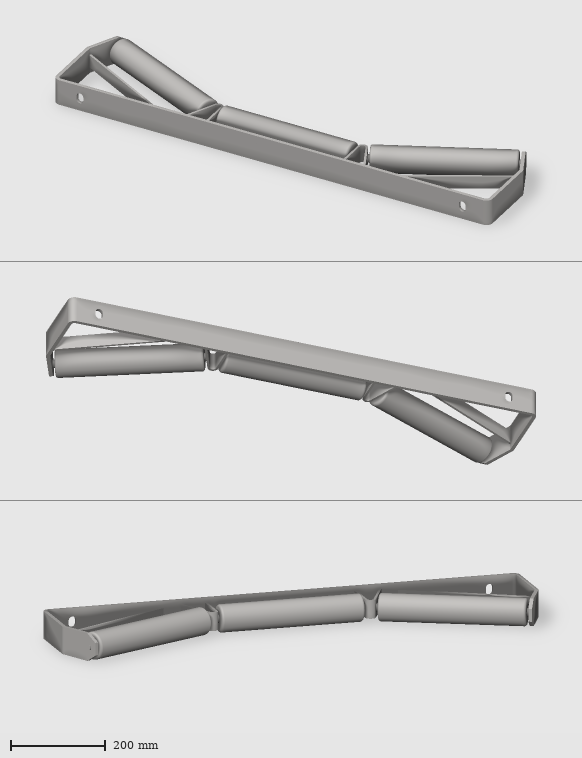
import cadquery as cq
import math

FRAME_LENGTH = 1050.0
BAR_HEIGHT = 60.0
BAR_THICKNESS = 8.0
BEND_RADIUS = 15.0
UPRIGHT_HEIGHT = 148.0
ARM_LENGTH = 102.76
TROUGH_ANGLE = 25.0

TIP_WIDTH = 28.0
TIP_TAPER_LENGTH = 25.0

MOUNT_SPACING = 920.0
MOUNT_SLOT_WIDTH = 16.0
MOUNT_SLOT_HEIGHT = 24.0

ROLLER_LENGTH = 315.0
ROLLER_DIAMETER = 60.0
ROLLER_EDGE = 5.0
AXLE_DIAMETER = 18.0
AXLE_FLATS = 10.0
CENTRE_END_GAP = 5.0
SIDE_END_GAP = 5.5
SIDE_AXLE_ALONG_ARM = 77.2
CENTRE_AXLE_Y = 71.0
SLOT_CLEARANCE = 3.5

BRACKET_THICKNESS = 5.0
BRACKET_BEND_RADIUS = 11.5
BRACKET_WIDTH = 40.0

BRACE_THICKNESS = 5.0
BRACE_WIDTH = 30.0
BRACE_ANGLE = 28.7
BRACE_TOP_Y = 149.5

SIN = math.sin(math.radians(TROUGH_ANGLE))
COS = math.cos(math.radians(TROUGH_ANGLE))
HALF_LENGTH = FRAME_LENGTH / 2
CENTRE_SPAN = ROLLER_LENGTH + 2 * CENTRE_END_GAP
SIDE_SPAN = ROLLER_LENGTH + 2 * SIDE_END_GAP
MIRROR_PLANE = "YZ"


def tilted(along_roller, along_arm):
    """Point on the left, measured from the outer arm corner along the roller and along the arm."""
    x = -HALF_LENGTH + along_roller * COS + along_arm * SIN
    y = UPRIGHT_HEIGHT - along_roller * SIN + along_arm * COS
    return (x, y)


def slab(outline, height):
    """Extrude a closed XY outline symmetrically about Z = 0."""
    return outline.extrude(height / 2, both=True)


def axle_slot(plane, start, length, clearance):
    """Tool for the flat-sided axle hole, with clearance above the axle (local +X)."""
    side = AXLE_FLATS / 2
    tip = AXLE_DIAMETER / 2
    corner = math.sqrt(tip**2 - side**2)
    return (
        cq.Workplane(plane)
        .workplane(offset=start)
        .moveTo(-corner, -side)
        .lineTo(corner + clearance, -side)
        .threePointArc((tip + clearance, 0), (corner + clearance, side))
        .lineTo(-corner, side)
        .threePointArc((-tip, 0), (-corner, -side))
        .close()
        .extrude(length)
    )


SIDE_UP = (SIN, COS, 0)
SIDE_DIRECTION = (COS, -SIN, 0)
SIDE_AXLE = cq.Plane(
    origin=(*tilted(BAR_THICKNESS, SIDE_AXLE_ALONG_ARM), 0), xDir=SIDE_UP, normal=SIDE_DIRECTION
)
CENTRE_AXLE = cq.Plane(origin=(-CENTRE_SPAN / 2, CENTRE_AXLE_Y, 0), xDir=(0, 1, 0), normal=(1, 0, 0))


def make_frame():
    inner_bend = BEND_RADIUS - BAR_THICKNESS
    inner_x = HALF_LENGTH - BAR_THICKNESS
    inner_bend_y = UPRIGHT_HEIGHT - BAR_THICKNESS * math.tan(math.radians(TROUGH_ANGLE / 2))
    tip_outer = tilted(0, ARM_LENGTH)
    tip_inner = tilted(BAR_THICKNESS, ARM_LENGTH)
    left_path = [
        (0, 0),
        (-HALF_LENGTH, 0),
        (-HALF_LENGTH, UPRIGHT_HEIGHT),
        tip_outer,
        tip_inner,
        (-inner_x, inner_bend_y),
        (-inner_x, BAR_THICKNESS),
        (0, BAR_THICKNESS),
    ]
    half = slab(cq.Workplane("XY").polyline(left_path).close(), BAR_HEIGHT)

    def edge_at(x, y):
        return cq.selectors.NearestToPointSelector((x, y, 0))

    for y in (0, UPRIGHT_HEIGHT):
        half = half.edges(edge_at(-HALF_LENGTH, y)).fillet(BEND_RADIUS)
    for y in (BAR_THICKNESS, inner_bend_y):
        half = half.edges(edge_at(-inner_x, y)).fillet(inner_bend)

    tip_plane = cq.Plane(origin=(*tip_outer, 0), xDir=SIDE_UP, normal=SIDE_DIRECTION)
    for side in (-1, 1):
        corner = (
            cq.Workplane(tip_plane)
            .moveTo(0, side * BAR_HEIGHT / 2)
            .lineTo(-TIP_TAPER_LENGTH, side * BAR_HEIGHT / 2)
            .lineTo(0, side * TIP_WIDTH / 2)
            .close()
            .extrude(BAR_THICKNESS)
        )
        half = half.cut(corner)
    half = half.cut(axle_slot(SIDE_AXLE, -BAR_THICKNESS, BAR_THICKNESS, SLOT_CLEARANCE))
    mount_slot = (
        cq.Workplane("XZ")
        .center(-MOUNT_SPACING / 2, 0)
        .slot2D(MOUNT_SLOT_HEIGHT, MOUNT_SLOT_WIDTH, 90)
        .extrude(-BAR_THICKNESS)
    )
    half = half.cut(mount_slot)
    return half.union(half.mirror(MIRROR_PLANE))


def make_bracket():
    leg_x = -CENTRE_SPAN / 2
    leg_d = BAR_THICKNESS + SIDE_SPAN
    outer = BRACKET_BEND_RADIUS
    inner = outer - BRACKET_THICKNESS
    bend_x = leg_x - outer
    bend_along = (bend_x + HALF_LENGTH - (leg_d + outer) * COS) / SIN
    bend_y = tilted(leg_d + outer, bend_along)[1]
    mid_angle = math.radians((180 - TROUGH_ANGLE) / 2)

    def on_bend(radius, angle):
        return (bend_x + radius * math.cos(angle), bend_y + radius * math.sin(angle))

    def foot(along_roller):
        along_arm = (BAR_THICKNESS - UPRIGHT_HEIGHT + along_roller * SIN) / COS
        return tilted(along_roller, along_arm)

    outline = (
        cq.Workplane("XY")
        .moveTo(leg_x, BAR_THICKNESS)
        .lineTo(leg_x, bend_y)
        .threePointArc(on_bend(outer, mid_angle), tilted(leg_d, bend_along))
        .lineTo(*foot(leg_d))
        .lineTo(*foot(leg_d + BRACKET_THICKNESS))
        .lineTo(*tilted(leg_d + BRACKET_THICKNESS, bend_along))
        .threePointArc(on_bend(inner, mid_angle), (leg_x - BRACKET_THICKNESS, bend_y))
        .lineTo(leg_x - BRACKET_THICKNESS, BAR_THICKNESS)
        .close()
    )
    bracket = slab(outline, BRACKET_WIDTH)
    centre_slot = axle_slot(CENTRE_AXLE, -outer, outer, 0)
    side_slot = axle_slot(SIDE_AXLE, SIDE_SPAN, outer, 0)
    return bracket.cut(centre_slot).cut(side_slot)


def make_brace(frame):
    slope = math.tan(math.radians(BRACE_ANGLE))
    wall_x = -HALF_LENGTH + BAR_THICKNESS
    drop = BRACE_THICKNESS / math.cos(math.radians(BRACE_ANGLE))
    rise = BRACE_TOP_Y - BAR_THICKNESS
    outline = [
        (wall_x, BRACE_TOP_Y),
        (wall_x + rise / slope, BAR_THICKNESS),
        (wall_x + (rise - drop) / slope, BAR_THICKNESS),
        (wall_x, BRACE_TOP_Y - drop),
    ]
    return slab(cq.Workplane("XY").polyline(outline).close(), BRACE_WIDTH).cut(frame)


def make_roller(plane, end_gap, near_support, far_support):
    """Roller with a round axle between its supports and flat-sided axle ends inside them."""
    span = ROLLER_LENGTH + 2 * end_gap
    shell = (
        cq.Workplane(plane)
        .workplane(offset=end_gap)
        .circle(ROLLER_DIAMETER / 2)
        .extrude(ROLLER_LENGTH)
        .edges("%CIRCLE")
        .fillet(ROLLER_EDGE)
    )
    axle = (
        cq.Workplane(plane)
        .workplane(offset=-near_support)
        .circle(AXLE_DIAMETER / 2)
        .extrude(near_support + span + far_support)
    )
    for start, length in ((-near_support, near_support), (span, far_support)):
        for side in (-1, 1):
            flat_waste = (
                cq.Workplane(plane)
                .workplane(offset=start)
                .center(0, side * (AXLE_FLATS + AXLE_DIAMETER) / 2)
                .rect(2 * AXLE_DIAMETER, AXLE_DIAMETER)
                .extrude(length)
            )
            axle = axle.cut(flat_waste)
    return shell.union(axle)


frame = make_frame()
centre_roller = make_roller(CENTRE_AXLE, CENTRE_END_GAP, BRACKET_THICKNESS, BRACKET_THICKNESS)
left_side = [
    make_bracket(),
    make_brace(frame),
    make_roller(SIDE_AXLE, SIDE_END_GAP, BAR_THICKNESS, BRACKET_THICKNESS),
]
right_side = [body.mirror(MIRROR_PLANE) for body in left_side]
bodies = [frame, centre_roller, *left_side, *right_side]

result = cq.Compound.makeCompound([body.val() for body in bodies])